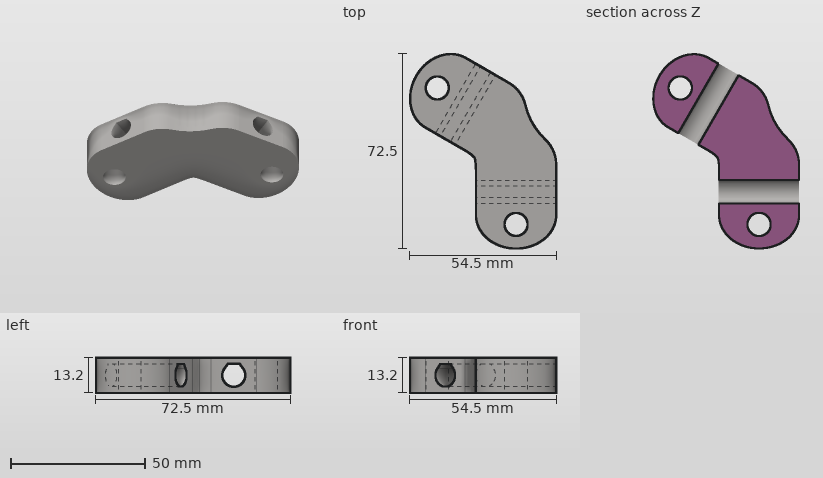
import cadquery as cq
import math

thickness = 13.2
leg_width = 30.0
leg_turn = 60.0
straight_length = 21.65
end_depth = 12.6

inner_blend_length = 4.67
inner_blend_depth = 0.64

shoulder_radius = 13.0
shoulder_start = 3.05
waist_distance = 24.55

hole_radius = 8.5 / 2
pin_hole_distance = 25.2
cross_hole_distance = 13.1
teardrop_flank_angle = 36.0

mirror_angle = math.radians(leg_turn / 2)


def reflect(point):
    """Mirror a point about the line that bisects the elbow."""
    x, y = point
    c = math.cos(2 * mirror_angle)
    s = math.sin(2 * mirror_angle)
    return (x * c + y * s, x * s - y * c)


def on_bisector(distance):
    """Point on the mirror line, positive towards the outer side of the elbow."""
    return (distance * math.cos(mirror_angle), distance * math.sin(mirror_angle))


def shoulder_points():
    """Middle of the convex shoulder arc and its tangent point with the waist arc."""
    center_x = leg_width - shoulder_radius
    center_y = -shoulder_start
    along = center_x * math.cos(mirror_angle) + center_y * math.sin(mirror_angle)
    across = center_x * math.sin(mirror_angle) - center_y * math.cos(mirror_angle)
    gap = waist_distance - along
    waist_radius = (shoulder_radius**2 - gap**2 - across**2) / (2 * (gap - shoulder_radius))
    waist_x, waist_y = on_bisector(waist_distance + waist_radius)
    arc_angle = math.atan2(waist_y - center_y, waist_x - center_x)

    def on_shoulder(angle):
        return (
            center_x + shoulder_radius * math.cos(angle),
            center_y + shoulder_radius * math.sin(angle),
        )

    return on_shoulder(arc_angle / 2), on_shoulder(arc_angle)


def make_plate():
    half_width = leg_width / 2
    inner_start = (0, -inner_blend_length)
    inner_handle = (0, -inner_blend_depth / math.sin(mirror_angle))
    inner_middle = on_bisector(-inner_blend_depth)
    inner_end = (0, -straight_length)
    outer_end = (leg_width, -straight_length)
    shoulder_begin = (leg_width, -shoulder_start)
    shoulder_middle, shoulder_finish = shoulder_points()
    second_leg_angle = 180 - leg_turn / 2

    return (
        cq.Workplane("XY")
        .moveTo(*inner_middle)
        .bezier([inner_middle, inner_handle, inner_start])
        .lineTo(*inner_end)
        .ellipseArc(half_width, end_depth, 180, 360, startAtCurrent=True)
        .lineTo(*shoulder_begin)
        .threePointArc(shoulder_middle, shoulder_finish)
        .threePointArc(on_bisector(waist_distance), reflect(shoulder_finish))
        .threePointArc(reflect(shoulder_middle), reflect(shoulder_begin))
        .lineTo(*reflect(outer_end))
        .ellipseArc(end_depth, half_width, -90, 90, second_leg_angle, startAtCurrent=True)
        .lineTo(*reflect(inner_start))
        .bezier([reflect(inner_start), reflect(inner_handle), inner_middle])
        .close()
        .extrude(thickness)
    )


def make_teardrop():
    """Cross hole through the first leg: a circle with two flanks rising to a flat top."""
    flank_angle = math.radians(teardrop_flank_angle)
    flank_y = hole_radius * math.cos(flank_angle)
    flank_z = hole_radius * math.sin(flank_angle)
    top_y = flank_y - (hole_radius - flank_z) * math.tan(flank_angle)
    return (
        cq.Workplane("YZ", origin=(0, -cross_hole_distance, thickness / 2))
        .moveTo(-flank_y, flank_z)
        .threePointArc((0, -hole_radius), (flank_y, flank_z))
        .lineTo(top_y, hole_radius)
        .lineTo(-top_y, hole_radius)
        .close()
        .extrude(leg_width)
    )


def make_pin_holes():
    first = (leg_width / 2, -pin_hole_distance)
    return cq.Workplane("XY").pushPoints([first, reflect(first)]).circle(hole_radius).extrude(thickness)


def mirror_to_second_leg(body):
    """Mirror about the vertical plane that bisects the elbow."""
    normal = (-math.sin(mirror_angle), math.cos(mirror_angle), 0)
    return body.mirror(normal)


first_cross_hole = make_teardrop()
second_cross_hole = mirror_to_second_leg(first_cross_hole)
result = make_plate().cut(make_pin_holes()).cut(first_cross_hole).cut(second_cross_hole)